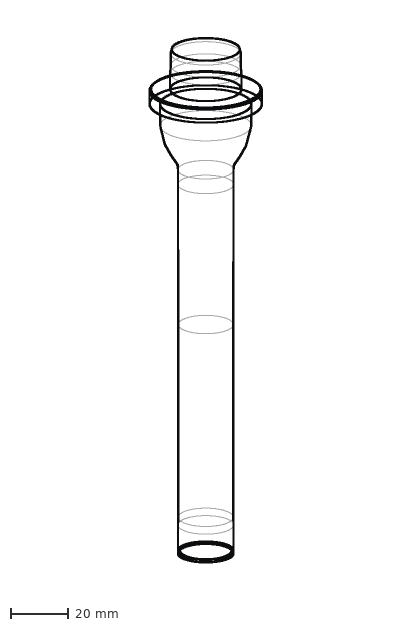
import cadquery as cq
import math

total_height = 188.0
pilot_chamfer_bottom = 186.5
pilot_bottom = 182.0
seat_top = 179.2
flange_top = 173.1
flange_bottom = 167.7
bell_top = 159.6
bell_bottom = 143.3
neck_bottom = 137.8
shank_top = 85.7
shank_bottom = 14.1
foot_top = 11.3
foot_bottom = 1.7

pilot_radius = 24.6 / 2
seat_radius = 25.0 / 2
flange_radius = 39.5 / 2
bell_radius = 32.0 / 2
neck_radius = 19.5 / 2
shank_radius = 19.4 / 2
foot_radius = neck_radius

pilot_chamfer_width = 0.4
flange_chamfer = 0.5

bell_convex_point = (14.0, 151.9)
bell_concave_point = (10.9, 147.0)
bell_lean = 0.15

cap_bevel = 0.8
cap_rim_height = 0.8


def revolve_profile(profile):
    """Turn a closed half-profile, drawn in the XZ plane, about the Z axis."""
    return profile.close().revolve(360, (0, 0, 0), (0, 1, 0))


def make_stem():
    """Flanged stem, with a bell that narrows smoothly into the neck."""
    profile = (
        cq.Workplane("XZ")
        .moveTo(0, total_height)
        .lineTo(pilot_radius - pilot_chamfer_width, total_height)
        .lineTo(pilot_radius, pilot_chamfer_bottom)
        .lineTo(pilot_radius, pilot_bottom)
        .lineTo(seat_radius, seat_top)
        .lineTo(seat_radius, flange_top)
        .lineTo(flange_radius - flange_chamfer, flange_top)
        .lineTo(flange_radius, flange_top - flange_chamfer)
        .lineTo(flange_radius, flange_bottom)
        .lineTo(bell_radius, flange_bottom)
        .lineTo(bell_radius, bell_top)
        .spline(
            [bell_convex_point, bell_concave_point, (neck_radius, bell_bottom)],
            tangents=[(-bell_lean, -1), (0, -1)],
            includeCurrent=True,
        )
        .lineTo(neck_radius, neck_bottom)
        .lineTo(shank_radius, shank_top)
        .lineTo(shank_radius, shank_bottom)
        .lineTo(foot_radius, foot_top)
        .lineTo(foot_radius, foot_bottom)
        .lineTo(0, foot_bottom)
    )
    return revolve_profile(profile)


def make_end_cap():
    """Thin domed disc seated against the flat end of the foot."""
    dome_radius = (foot_radius**2 + cap_rim_height**2) / (2 * cap_rim_height)
    middle_angle = math.asin(foot_radius / dome_radius) / 2
    dome_middle = (
        dome_radius * math.sin(middle_angle),
        dome_radius * (1 - math.cos(middle_angle)),
    )

    profile = (
        cq.Workplane("XZ")
        .moveTo(0, foot_bottom)
        .lineTo(foot_radius - cap_bevel, foot_bottom)
        .lineTo(foot_radius, cap_rim_height)
        .threePointArc(dome_middle, (0, 0))
    )
    return revolve_profile(profile)


stem = make_stem()
end_cap = make_end_cap()

result = cq.Compound.makeCompound([stem.val(), end_cap.val()])